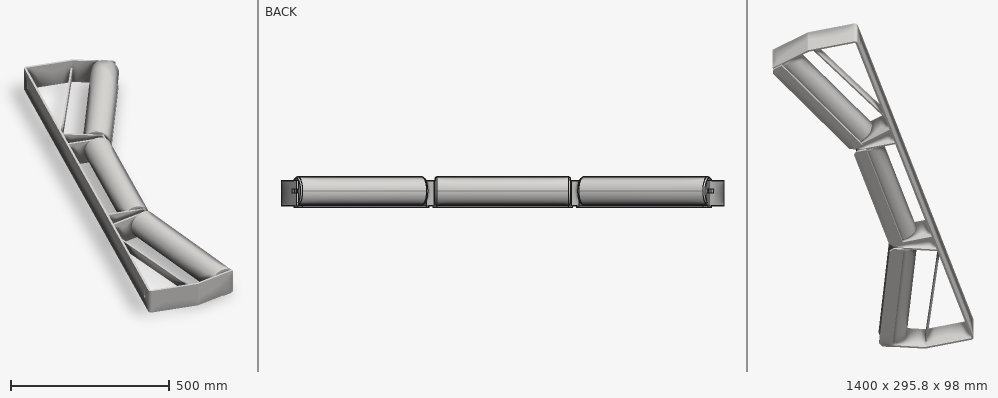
import cadquery as cq
import math


frame_length = 1400.0
strip_width = 80.0
strip_top = 32.0
strip_thickness = 7.0
bend_radius = 10.0
knee_height = 161.0
lean_length = 137.0
trough_angle = 20.0
mount_slot_width = 17.0
mount_slot_height = 27.0
mount_slot_spacing = 1299.0

roller_radius = 45.0
roller_length = 428.0
end_chamfer_length = 5.0
end_chamfer_depth = 4.0
centre_roller_height = 101.0
side_roller_x = 452.0
side_roller_height = 182.0

shaft_depth = 21.0
shaft_thickness = 13.0
support_gap = 3.0

guard_length = 442.0
guard_width = 43.0
guard_corner = 13.0
guard_thickness = 5.0
guard_drop = 8.0
guard_rib_width = 5.0
guard_rib_overlap = 8.0

bracket_thickness = 7.0
bracket_height = 129.0
brace_thickness = 5.0
brace_height = 30.0
brace_bottom = -24.0
brace_foot_x = 300.0

strip_bottom = strip_top - strip_width
strip_centre = strip_top - strip_width / 2
half_length = frame_length / 2
half_roller = roller_length / 2
support_offset = half_roller + support_gap
shaft_length = 2 * (support_offset + strip_thickness)
lean_sin = math.sin(math.radians(trough_angle))
lean_cos = math.cos(math.radians(trough_angle))
lean_tan = math.tan(math.radians(trough_angle))
knee_inner_height = knee_height - strip_thickness * math.tan(math.radians(trough_angle / 2))


def upright_prism(points):
    """Closed XY outline extruded over the full strip width."""
    outline = cq.Workplane("XY").workplane(offset=strip_bottom)
    return outline.polyline(points).close().extrude(strip_width)


def mirrored(shape):
    return shape.mirror("YZ")


def place_side(shape):
    """Move a shape built along X at the origin to the axis of the right-hand side roller."""
    turned = shape.rotate((0, 0, 0), (0, 0, 1), trough_angle)
    return turned.translate((side_roller_x, side_roller_height, 0))


def place_centre(shape):
    return shape.translate((0, centre_roller_height, 0))


def shaft():
    """Flat tongue along X, long enough to pass through the strips at both ends of a roller."""
    return cq.Workplane("XY").box(shaft_length, shaft_depth, shaft_thickness)


def open_slot():
    """Cutter for a slot that holds the shaft and opens at the tip of a leaning strip end."""
    depth = shaft_depth / 2 + lean_length
    slot = cq.Workplane("XY").box(shaft_length, depth, shaft_thickness, centered=(True, False, True))
    return slot.translate((0, -shaft_depth / 2, 0))


def frame():
    tip = (half_length - lean_length * lean_sin, knee_height + lean_length * lean_cos)
    tip_inner = (tip[0] - strip_thickness * lean_cos, tip[1] - strip_thickness * lean_sin)
    inner_x = half_length - strip_thickness
    outer_side = [(half_length, 0), (half_length, knee_height), tip]
    inner_side = [tip_inner, (inner_x, knee_inner_height), (inner_x, strip_thickness)]
    right_half = outer_side + inner_side
    left_half = [(-x, y) for x, y in reversed(right_half)]
    strip = upright_prism(right_half + left_half)

    for side in (-1, 1):
        for height in (0, knee_height):
            outer_bend = cq.selectors.NearestToPointSelector((side * half_length, height, strip_centre))
            strip = strip.edges("|Z").edges(outer_bend).fillet(bend_radius)

    slots = (
        cq.Workplane("XZ", origin=(0, 0, strip_centre))
        .pushPoints([(-mount_slot_spacing / 2, 0), (mount_slot_spacing / 2, 0)])
        .slot2D(mount_slot_height, mount_slot_width, 90)
        .extrude(-strip_thickness)
    )
    shaft_slot = place_side(open_slot())
    return strip.cut(slots).cut(shaft_slot).cut(mirrored(shaft_slot))


def roller():
    """Chamfered roller with its shaft tongues and the guard strip below its +Y half."""
    body = (
        cq.Workplane("XY")
        .moveTo(-half_roller, 0)
        .lineTo(-half_roller, roller_radius - end_chamfer_depth)
        .lineTo(-half_roller + end_chamfer_length, roller_radius)
        .lineTo(half_roller - end_chamfer_length, roller_radius)
        .lineTo(half_roller, roller_radius - end_chamfer_depth)
        .lineTo(half_roller, 0)
        .close()
        .revolve(360, (0, 0, 0), (1, 0, 0))
    )
    guard_bottom = -roller_radius - guard_drop
    guard = (
        cq.Workplane("XY", origin=(0, 0, guard_bottom))
        .rect(guard_length, guard_width)
        .extrude(guard_thickness)
        .translate((0, guard_width / 2, 0))
        .edges("|Z and >Y")
        .chamfer(guard_corner)
    )
    rib = (
        cq.Workplane("XY", origin=(0, guard_rib_width / 2, guard_bottom))
        .rect(roller_length - 2 * end_chamfer_length, guard_rib_width)
        .extrude(guard_drop + guard_rib_overlap)
    )
    return body.union(shaft()).union(rib).union(guard)


def bracket():
    """Right inner bracket: an upright leg, a short web on top and a leg square to the side roller."""
    near_x = support_offset
    far_x = near_x + bracket_thickness
    web_bottom = bracket_height - bracket_thickness

    face_x = side_roller_x - support_offset * lean_cos
    face_y = side_roller_height - support_offset * lean_sin
    slant = bracket_thickness / lean_cos

    def outer_x(y):
        return face_x - (y - face_y) * lean_tan

    outline = [
        (near_x, strip_thickness),
        (near_x, bracket_height),
        (outer_x(bracket_height), bracket_height),
        (outer_x(strip_thickness), strip_thickness),
        (outer_x(strip_thickness) - slant, strip_thickness),
        (outer_x(web_bottom) - slant, web_bottom),
        (far_x, web_bottom),
        (far_x, strip_thickness),
    ]
    plate = upright_prism(outline)
    bar = shaft()
    return plate.cut(place_centre(bar)).cut(place_side(bar))


def brace():
    """Right diagonal flat from the knee of the frame down to its base."""
    knee_x = half_length - strip_thickness
    slope = math.atan2(knee_inner_height - strip_thickness, knee_x - brace_foot_x)
    outline = [
        (brace_foot_x, strip_thickness),
        (knee_x, knee_inner_height),
        (knee_x, knee_inner_height - brace_thickness / math.cos(slope)),
        (brace_foot_x + brace_thickness / math.sin(slope), strip_thickness),
    ]
    flat = cq.Workplane("XY").workplane(offset=brace_bottom)
    return flat.polyline(outline).close().extrude(brace_height)


side_roller = place_side(roller())
rollers = [place_centre(roller()), side_roller, mirrored(side_roller)]
brackets = [bracket(), mirrored(bracket())]
braces = [brace(), mirrored(brace())]

bodies = [frame(), *rollers, *brackets, *braces]
result = cq.Compound.makeCompound([body.val() for body in bodies])